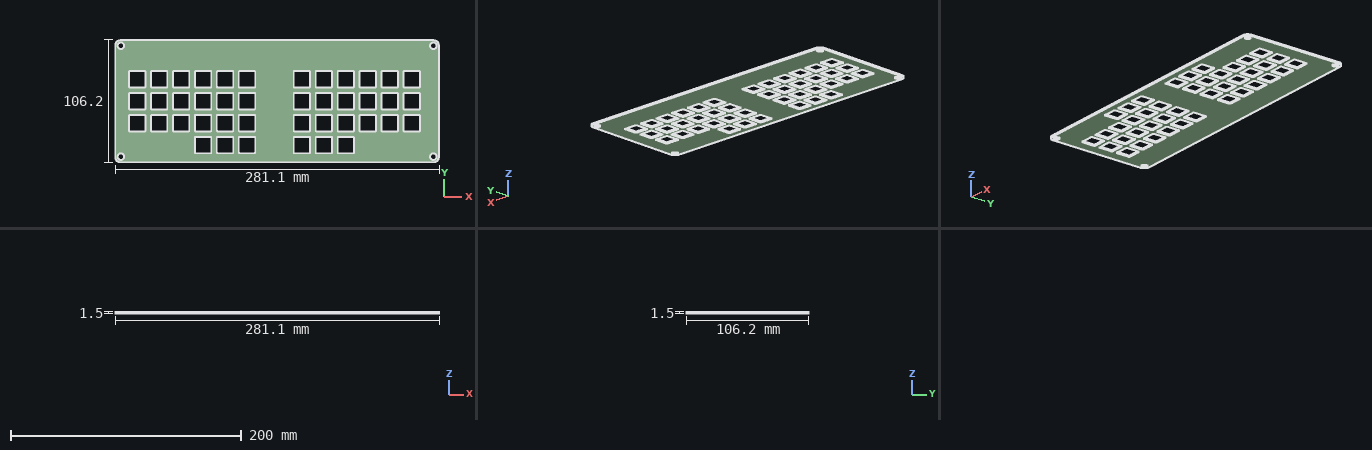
import cadquery as cq

plate_length = 281.08
plate_width = 106.25
plate_thickness = 1.5
corner_radius = 5.0

mount_hole_diameter = 5.5
mount_hole_inset = 5.0

key_pitch = 19.05
key_cutout = 14.0
key_corner_radius = 0.5
columns_per_hand = 6
full_rows = 3
thumb_keys = 3
hand_gap = 2.5 * key_pitch
left_first_column_x = -121.3
top_row_y = key_pitch

left_last_column_x = left_first_column_x + (columns_per_hand - 1) * key_pitch
right_first_column_x = left_last_column_x + hand_gap
thumb_row_y = top_row_y - full_rows * key_pitch


def key_row(first_x, y, count):
    """Centres of a row of keys running toward +X from first_x."""
    return [(first_x + i * key_pitch, y) for i in range(count)]


def key_centres():
    """Full rows for both hands, then the thumb keys beside the central gap."""
    centres = []
    for row in range(full_rows):
        y = top_row_y - row * key_pitch
        centres += key_row(left_first_column_x, y, columns_per_hand)
        centres += key_row(right_first_column_x, y, columns_per_hand)
    left_first_thumb_x = left_last_column_x - (thumb_keys - 1) * key_pitch
    centres += key_row(left_first_thumb_x, thumb_row_y, thumb_keys)
    centres += key_row(right_first_column_x, thumb_row_y, thumb_keys)
    return centres


def make_plate():
    """Flat plate with rounded corners, its underside on Z = 0."""
    plate = cq.Workplane("XY").rect(plate_length, plate_width).extrude(plate_thickness)
    return plate.edges("|Z").fillet(corner_radius)


def make_mount_holes():
    """Through-hole cutters at the four corners."""
    spacing_x = plate_length - 2 * mount_hole_inset
    spacing_y = plate_width - 2 * mount_hole_inset
    holes = cq.Workplane("XY").rect(spacing_x, spacing_y, forConstruction=True).vertices()
    return holes.circle(mount_hole_diameter / 2).extrude(plate_thickness)


def make_key_cutouts():
    """Rounded square through-cutters, one for each key."""
    squares = cq.Workplane("XY").pushPoints(key_centres()).rect(key_cutout, key_cutout)
    return squares.extrude(plate_thickness).edges("|Z").fillet(key_corner_radius)


result = make_plate().cut(make_mount_holes()).cut(make_key_cutouts())